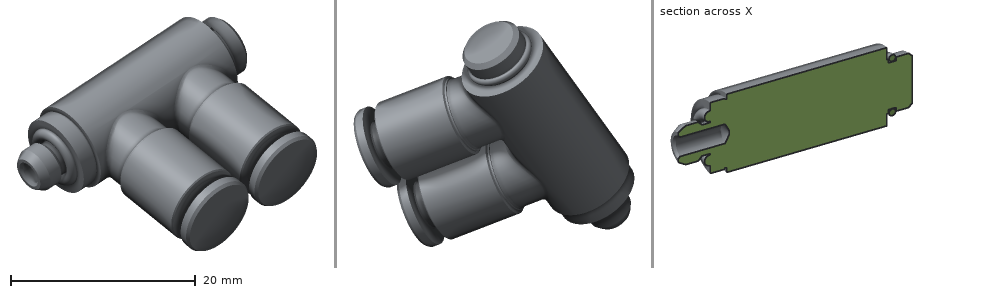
import cadquery as cq

overall_length = 29.2

tube_diameter = 10.0
tube_radius = tube_diameter / 2
tube_length = 19.97

collar_radius = 4.38
flange_radius = 4.53
flange_back_depth = 0.18
flange_front_depth = 2.07
stud_neck_radius = 2.01
stud_neck_end_depth = 3.05
thread_radius = 2.5
thread_start_depth = stud_neck_end_depth + (thread_radius - stud_neck_radius)
thread_end_depth = 5.08
nose_radius = 1.9
nose_bulge = 0.03
stud_tip_depth = 6.05

bead_radius = 0.7
bead_centre_radius = 2.8

bore_radius = 1.23
bore_mouth_radius = 1.5
bore_mouth_depth = 0.25
bore_depth = 5.85
bore_point_length = 0.7

plug_radius = 3.47
plug_end = overall_length - stud_tip_depth
plug_chamfer = 0.5
groove_start = tube_length + 0.18
groove_width = 0.93
ring_wire_diameter = 0.88
ring_outer_radius = 3.88
ring_gap = 0.55
groove_radius = ring_outer_radius - ring_wire_diameter

branch_places = [tube_length / 4, tube_length * 3 / 4]
branch_neck_radius = 4.0
neck_blend_radius = 0.47
end_margin = 0.3
neck_flare_start = 7.05
neck_flare_rise = 0.1
step_radius = 4.23
step_start = 7.3
step_end = 7.5
sleeve_radius = 4.53
sleeve_start = 7.62
sleeve_end = 16.0
sleeve_chamfer = 0.15
crown_radius = 3.5
crown_end = 16.2
crown_top_radius = 2.83
crown_bulge = 0.05
collet_radius = 2.6
collet_fillet = 0.15
button_radius = sleeve_radius
button_start = 17.37
button_end = 18.6
button_chamfer_length = 0.35
button_chamfer_height = 0.23


def make_stem():
    """Plug, tube core and stud, turned about the Y axis from a (radius, Y) outline."""
    groove_end = groove_start + groove_width
    return (
        cq.Workplane("XY")
        .moveTo(0, plug_end)
        .lineTo(plug_radius - plug_chamfer, plug_end)
        .lineTo(plug_radius, plug_end - plug_chamfer)
        .lineTo(plug_radius, groove_end)
        .lineTo(groove_radius, groove_end)
        .lineTo(groove_radius, groove_start)
        .lineTo(plug_radius, groove_start)
        .lineTo(plug_radius, tube_length)
        .lineTo(collar_radius, tube_length)
        .lineTo(collar_radius, -flange_back_depth)
        .lineTo(flange_radius, -flange_back_depth)
        .lineTo(flange_radius, -flange_front_depth)
        .lineTo(stud_neck_radius, -flange_front_depth)
        .lineTo(stud_neck_radius, -stud_neck_end_depth)
        .lineTo(thread_radius, -thread_start_depth)
        .lineTo(thread_radius, -thread_end_depth)
        .sagittaArc((nose_radius, -stud_tip_depth), nose_bulge)
        .lineTo(0, -stud_tip_depth)
        .close()
        .revolve(360, (0, 0, 0), (0, 1, 0))
    )


def make_seal_bead():
    """Full ring of round section, centred on the front face of the flange."""
    return (
        cq.Workplane("XY")
        .center(bead_centre_radius, -flange_front_depth)
        .circle(bead_radius)
        .revolve(360, (-bead_centre_radius, 0, 0), (-bead_centre_radius, 1, 0))
    )


def make_bore():
    """Blind drilled hole with a countersunk mouth and a conical end."""
    bottom = bore_depth - stud_tip_depth
    return (
        cq.Workplane("XY")
        .moveTo(0, -stud_tip_depth)
        .lineTo(bore_mouth_radius, -stud_tip_depth)
        .lineTo(bore_radius, bore_mouth_depth - stud_tip_depth)
        .lineTo(bore_radius, bottom)
        .lineTo(0, bottom + bore_point_length)
        .close()
        .revolve(360, (0, 0, 0), (0, 1, 0))
    )


def make_blended_tube():
    """Tube with the two branch necks, blended where they meet."""
    tube = cq.Workplane("XZ").circle(tube_radius).extrude(-tube_length)
    for place in branch_places:
        neck = (
            cq.Workplane("YZ")
            .center(place, 0)
            .circle(branch_neck_radius)
            .extrude(neck_flare_start)
        )
        tube = tube.union(neck)
    joint_zone = cq.selectors.BoxSelector(
        (0, end_margin, -tube_radius),
        (tube_radius, tube_length - end_margin, tube_radius),
    )
    return tube.edges(joint_zone).edges("not(%LINE)").fillet(neck_blend_radius)


def make_branch(place):
    """Sleeve, collet and release button of one branch, turned about its X axis."""
    return (
        cq.Workplane("XY")
        .center(0, place)
        .moveTo(neck_flare_start, 0)
        .lineTo(neck_flare_start, branch_neck_radius)
        .lineTo(step_start, branch_neck_radius + neck_flare_rise)
        .lineTo(step_start, step_radius)
        .lineTo(step_end, step_radius)
        .lineTo(sleeve_start, sleeve_radius)
        .lineTo(sleeve_end - sleeve_chamfer, sleeve_radius)
        .lineTo(sleeve_end, sleeve_radius - sleeve_chamfer)
        .lineTo(sleeve_end, crown_radius)
        .sagittaArc((crown_end, crown_top_radius), crown_bulge)
        .lineTo(crown_end, collet_radius)
        .lineTo(button_start - collet_fillet, collet_radius)
        .lineTo(button_start, collet_radius + collet_fillet)
        .lineTo(button_start, button_radius)
        .lineTo(button_end - button_chamfer_length, button_radius)
        .lineTo(button_end, button_radius - button_chamfer_height)
        .lineTo(button_end, 0)
        .close()
        .revolve(360, (0, 0, 0), (1, 0, 0))
    )


def make_fitting():
    """Tube, stud, plug and both branches as one solid."""
    fitting = make_blended_tube().union(make_stem()).union(make_seal_bead())
    for place in branch_places:
        fitting = fitting.union(make_branch(place))
    return fitting.cut(make_bore())


def make_snap_ring():
    """Round-wire ring in the plug groove, open at the top (+Z)."""
    wire_radius = ring_wire_diameter / 2
    wire_centre = ring_outer_radius - wire_radius
    ring_place = groove_start + groove_width / 2
    ring = (
        cq.Workplane("XY")
        .center(wire_centre, ring_place)
        .circle(wire_radius)
        .revolve(360, (-wire_centre, 0, 0), (-wire_centre, 1, 0))
    )
    opening = (
        cq.Workplane("XY")
        .center(0, ring_place)
        .rect(ring_gap, groove_width)
        .extrude(ring_outer_radius)
    )
    return ring.cut(opening)


fitting = make_fitting()
snap_ring = make_snap_ring()

result = cq.Compound.makeCompound([fitting.val(), snap_ring.val()])